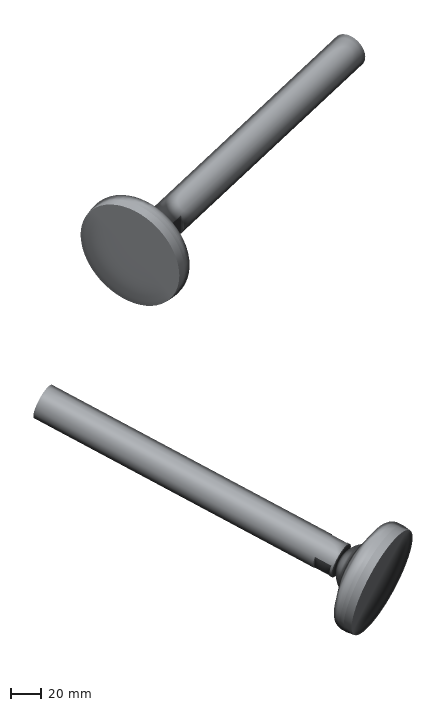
import cadquery as cq
import math

total_length = 261.5

pad_radius = 40.0
pad_base_radius = 39.2
taper_height = 5.5
shoulder_start = 8.5
shoulder_radius = 8.0

dome_radius = 20.1
dome_center_height = 12.3
dome_edge_height = 22.8

stem_diameter = 25.0
stem_start = 31.6
flats_width = 20.0
flats_start = 33.2
flats_length = 12.5


def dome_radius_at(height):
    """Distance of the dome surface from the axis at a given height."""
    return math.sqrt(dome_radius**2 - (height - dome_center_height) ** 2)


def make_foot():
    """Revolve the pad and dome, with a cone tangent to the rounded shoulder."""
    dome_edge_radius = dome_radius_at(dome_edge_height)
    dome_top_radius = dome_radius_at(stem_start)
    arc_mid_height = (dome_edge_height + stem_start) / 2

    shoulder_center = pad_radius - shoulder_radius
    run = dome_edge_radius - shoulder_center
    rise = dome_edge_height - shoulder_start
    tangent_angle = math.atan2(rise, run) - math.acos(shoulder_radius / math.hypot(run, rise))

    def shoulder_point(angle):
        return (
            shoulder_center + shoulder_radius * math.cos(angle),
            shoulder_start + shoulder_radius * math.sin(angle),
        )

    return (
        cq.Workplane("XY")
        .lineTo(pad_base_radius, 0)
        .lineTo(pad_radius, taper_height)
        .lineTo(pad_radius, shoulder_start)
        .threePointArc(shoulder_point(tangent_angle / 2), shoulder_point(tangent_angle))
        .lineTo(dome_edge_radius, dome_edge_height)
        .threePointArc(
            (dome_radius_at(arc_mid_height), arc_mid_height),
            (dome_top_radius, stem_start),
        )
        .lineTo(0, stem_start)
        .close()
        .revolve(360, (0, 0), (0, 1))
    )


def make_stem():
    """Plain round stem with opposite flats facing -X and +X."""
    stem = (
        cq.Workplane("XZ", origin=(0, stem_start, 0))
        .circle(stem_diameter / 2)
        .extrude(stem_start - total_length)
    )
    for side in (-1, 1):
        cutter = cq.Workplane("XY").box(stem_diameter, flats_length, stem_diameter)
        offset = side * (flats_width + stem_diameter) / 2
        stem = stem.cut(cutter.translate((offset, flats_start + flats_length / 2, 0)))
    return stem


result = make_foot().union(make_stem())